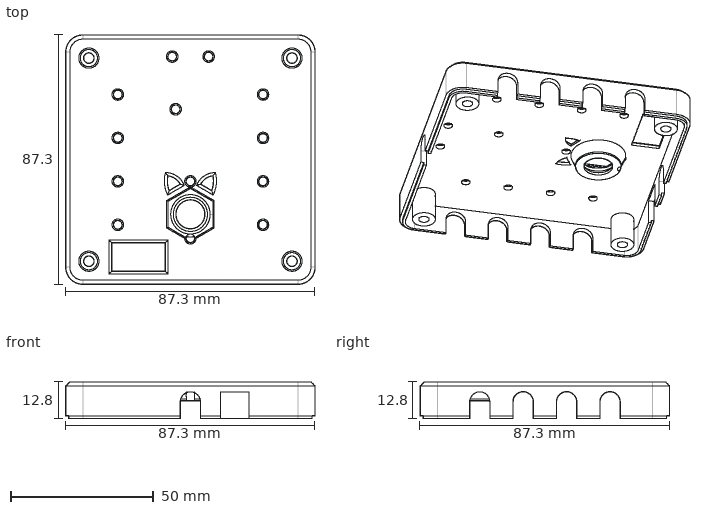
import cadquery as cq

side = 87.3
height = 12.8
corner_radius = 6.0
top_chamfer = 1.5
wall = 2.0
underside = height - wall
lip_height = 1.0
lip_inset = 1.05
edge_break = 0.5

screw_offset = 35.5
screw_diameter = 3.6
head_diameter = 6.0
head_depth = 3.8
post_diameter = head_diameter + wall

row_pitch = 15.2
rows = [(i - 1.5) * row_pitch for i in range(4)]
slot_width = 7.0
slot_top = 9.3
led_diameter = 3.0
led_column = 25.4
back_led_x = 6.4
back_led_y = 36.05
middle_led = (-5.15, 17.6)

port_left = 10.5
port_width = 10.0

window_center = (-18.15, -34.0)
window_length = 18.7
window_width = 9.9
window_chamfer = 1.0

fox_y = -19.1
fox_center = [(0, fox_y)]
mouth_flats = 16.6
mouth_bevel = 0.4
mouth_bevel_depth = 1.0
funnel_top_diameter = 18.5
dish_top_diameter = 13.8
dish_top_z = 10.6
dish_low_diameter = 12.0
dish_low_z = 8.55
dish_floor_z = 7.2
dish_hole_diameter = 10.0
dish_rim_diameter = 16.0
dish_rim_z = 6.8
skirt_top_diameter = 19.2
dish_bottom_z = 6.2
nose_drop = 8.4
face_hole_floor = 6.4

ear_root = (-7.9, 6.7)
ear_side = (-9.1, 10.65)
ear_tip = (-8.7, 14.6)
ear_crest = (-5.2, 13.7)
ear_inner = (-2.2, 10.1)
ear_taper = 29.0


def block(size, bottom, top):
    return cq.Workplane("XY").workplane(offset=bottom).rect(size, size).extrude(top - bottom)


def rod(diameter, bottom, top, points):
    base = cq.Workplane("XY").workplane(offset=bottom)
    return base.pushPoints(points).circle(diameter / 2).extrude(top - bottom)


def chamfered_hole(diameter, bottom, points):
    """Round hole from the top face down to bottom, with its rim broken."""
    rim = (
        cq.Workplane("XY")
        .workplane(offset=height)
        .circle(diameter / 2 + edge_break)
        .workplane(offset=-edge_break)
        .circle(diameter / 2)
        .loft()
    )
    hole = rod(diameter, bottom, height, points)
    for x, y in points:
        hole = hole.union(rim.translate((x, y, 0)))
    return hole


def cover_shell():
    body = block(side, lip_height, height).edges("|Z").fillet(corner_radius)
    body = body.faces(">Z").edges().chamfer(top_chamfer)
    lip = block(side - 2 * lip_inset, 0, lip_height).edges("|Z").fillet(corner_radius - lip_inset)
    cavity = block(side - 2 * wall, 0, underside).edges("|Z").fillet(corner_radius - wall)
    return body.union(lip).cut(cavity)


def arched_slot(length):
    """Round-topped slot along X, centred on the origin and open at the base."""
    spring = slot_top - slot_width / 2
    return (
        cq.Workplane("YZ")
        .moveTo(-slot_width / 2, 0)
        .lineTo(-slot_width / 2, spring)
        .threePointArc((0, slot_top), (slot_width / 2, spring))
        .lineTo(slot_width / 2, 0)
        .close()
        .extrude(length / 2, both=True)
    )


def hexagon_prism(top_flats, low_flats, top, low):
    """Hexagonal solid with flats facing +X and -X, tapered between two sizes."""
    return (
        cq.Workplane("XY", origin=(0, fox_y, top))
        .polygon(6, top_flats, circumscribed=True)
        .workplane(offset=low - top)
        .polygon(6, low_flats, circumscribed=True)
        .loft(ruled=True)
    )


def cone(top_diameter, top, low_diameter, low):
    return (
        cq.Workplane("XY", origin=(0, fox_y, top))
        .circle(top_diameter / 2)
        .workplane(offset=low - top)
        .circle(low_diameter / 2)
        .loft()
    )


def dish_outside():
    skirt = cone(skirt_top_diameter, underside, dish_rim_diameter, dish_rim_z)
    return skirt.union(rod(dish_rim_diameter, dish_bottom_z, dish_rim_z, fox_center))


def dish_inside():
    throat_flats = mouth_flats - 2 * mouth_bevel
    throat_z = height - mouth_bevel_depth
    mouth = hexagon_prism(mouth_flats, throat_flats, height, throat_z)
    throat = hexagon_prism(throat_flats, throat_flats, throat_z, dish_top_z)
    funnel = throat.intersect(cone(funnel_top_diameter, throat_z, dish_top_diameter, dish_top_z))
    bowl = cone(dish_top_diameter, dish_top_z, dish_low_diameter, dish_low_z)
    pit = rod(dish_low_diameter, dish_floor_z, dish_low_z, fox_center)
    hole = rod(dish_hole_diameter, dish_bottom_z, dish_floor_z, fox_center)
    return mouth.union(funnel).union(bowl).union(pit).union(hole)


def ears():
    left = (
        cq.Workplane("XY", origin=(0, fox_y, height))
        .moveTo(*ear_root)
        .threePointArc(ear_side, ear_tip)
        .threePointArc(ear_crest, ear_inner)
        .close()
        .extrude(-wall, taper=ear_taper)
    )
    return left.union(left.mirror("YZ"))


def window():
    base = cq.Workplane("XY", origin=(*window_center, underside))
    opening = base.rect(window_length, window_width).extrude(wall)
    bevel = (
        cq.Workplane("XY", origin=(*window_center, height))
        .rect(window_length + 2 * window_chamfer, window_width + 2 * window_chamfer)
        .workplane(offset=-window_chamfer)
        .rect(window_length, window_width)
        .loft()
    )
    return opening.union(bevel)


def port():
    opening = cq.Workplane("XY").box(port_width, wall, slot_top, centered=False)
    return opening.translate((port_left, -side / 2, 0))


result = cover_shell()

for row in rows:
    result = result.cut(arched_slot(side).translate((0, row, 0)))
result = result.cut(arched_slot(side).rotate((0, 0, 0), (0, 0, 1), 90))
result = result.cut(port())

screws = [(x, y) for x in (-screw_offset, screw_offset) for y in (-screw_offset, screw_offset)]
result = result.union(rod(post_diameter, 0, underside, screws))
result = result.cut(rod(screw_diameter, 0, height, screws))
result = result.cut(chamfered_hole(head_diameter, height - head_depth, screws))

leds = [(x, row) for x in (-led_column, led_column) for row in rows]
leds += [(-back_led_x, back_led_y), (back_led_x, back_led_y), middle_led]
result = result.cut(chamfered_hole(led_diameter, underside, leds))

result = result.cut(window())
result = result.union(dish_outside()).cut(dish_inside())
result = result.cut(ears())
face_holes = [(0, rows[1]), (0, fox_y - nose_drop)]
result = result.cut(chamfered_hole(led_diameter, face_hole_floor, face_holes))